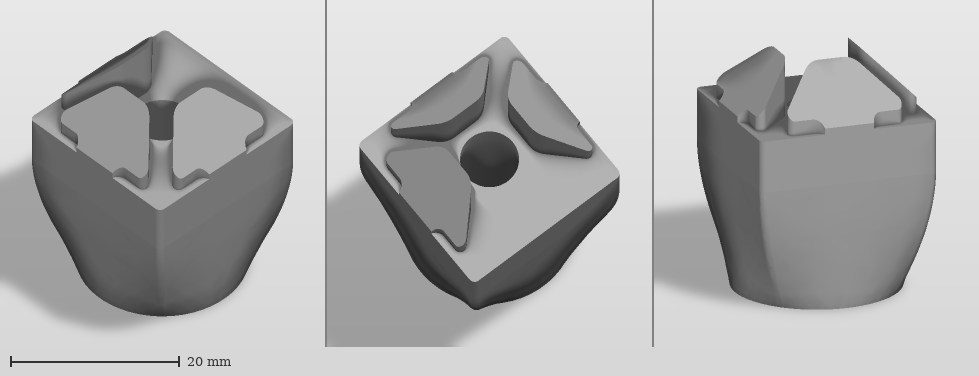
import cadquery as cq
import math

width = 22.35
height = 29.4
half = width / 2

foot_radius = 10.32
blend_height = 15.85
block_top = 22.2
corner_radius = 0.75
bore_diameter = 7.0
blend_exponent = 1.8
blend_section_count = 6

lug_inner = 4.74
lug_ear_back = 10.2
lug_inner_half_width = 2.7
tab_half_width = 3.05
lug_nose_radius = 2.7
lug_ear_radius = 0.7
tab_root_radius = 1.24
lug_directions = (0, 180, 270)


def blend_section(fraction_down):
    """Section of the base, from rounded square (0) to foot circle (1)."""
    foot_share = fraction_down**blend_exponent
    straight_half = half - corner_radius
    corner_reach = straight_half + corner_radius * math.sqrt(0.5)
    seam_angle = math.degrees(math.atan2(straight_half, half))

    def point(x, y, foot_angle):
        angle = math.radians(foot_angle)
        return (
            x + (foot_radius * math.cos(angle) - x) * foot_share,
            y + (foot_radius * math.sin(angle) - y) * foot_share,
        )

    side_start = point(half, -straight_half, -seam_angle)
    side_middle = point(half, 0, 0)
    side_end = point(half, straight_half, seam_angle)
    corner_middle = point(corner_reach, corner_reach, 45)

    def turned(position, quarter):
        x, y = position
        for _ in range(quarter):
            x, y = -y, x
        return (x, y)

    level = blend_height * (1 - fraction_down)
    section = cq.Workplane("XY", origin=(0, 0, level)).moveTo(*side_start)
    for quarter in range(4):
        if fraction_down == 0:
            section = section.lineTo(*turned(side_end, quarter))
        else:
            section = section.threePointArc(turned(side_middle, quarter), turned(side_end, quarter))
        next_start = turned(side_start, quarter + 1)
        section = section.threePointArc(turned(corner_middle, quarter), next_start)
    return section.close().val()


def make_base():
    last = blend_section_count - 1
    sections = [blend_section(1 - i / last) for i in range(blend_section_count)]
    return cq.Workplane(cq.Solid.makeLoft(sections))


def make_block():
    block = cq.Workplane("XY", origin=(0, 0, blend_height)).rect(width, width)
    return block.extrude(block_top - blend_height).edges("|Z").fillet(corner_radius)


def make_lug():
    """Lug on the +X side: 45 degree flanks and a top falling outward at 45 degrees."""
    ear_half_width = lug_inner_half_width + lug_ear_back - lug_inner
    upper_outline = [
        (lug_inner, lug_inner_half_width),
        (lug_ear_back, ear_half_width),
        (lug_ear_back, tab_half_width),
        (width, tab_half_width),
    ]
    lower_outline = [(x, -y) for x, y in reversed(upper_outline)]
    lug = (
        cq.Workplane("XY", origin=(0, 0, blend_height))
        .polyline(upper_outline + lower_outline)
        .close()
        .extrude(height - blend_height)
    )
    corner_radii = (lug_nose_radius, lug_ear_radius, tab_root_radius)
    for (x, y), radius in zip(upper_outline, corner_radii):
        for side in (1, -1):
            corner = cq.selectors.NearestToPointSelector((x, side * y, (blend_height + height) / 2))
            lug = lug.edges("|Z").edges(corner).fillet(radius)

    edge_height = height - (half - lug_inner)
    sloped_envelope = (
        cq.Workplane("XZ")
        .polyline([(lug_inner, blend_height), (half, blend_height), (half, edge_height), (lug_inner, height)])
        .close()
        .extrude(half, both=True)
    )
    return lug.intersect(sloped_envelope)


body = make_base().union(make_block())
lug = make_lug()
for direction in lug_directions:
    body = body.union(lug.rotate((0, 0, 0), (0, 0, 1), direction))

bore = cq.Workplane("XY").circle(bore_diameter / 2).extrude(height)
result = body.cut(bore)